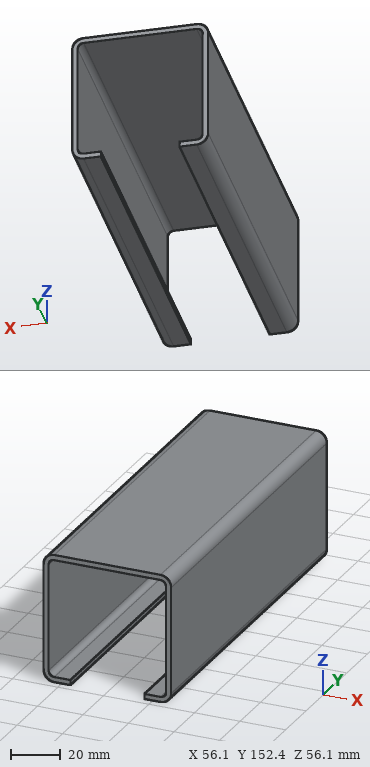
import cadquery as cq

length = 152.4
width = 56.1
height = 56.1
wall = 2.3
outer_radius = 4.7
slot_width = 32.5

inner_radius = outer_radius - wall


def rounded_bar(bar_width, bar_height, corner_radius):
    """Bar along Y, centred on the origin, with rounded lengthwise edges."""
    return cq.Workplane("XY").box(bar_width, length, bar_height).edges("|Y").fillet(corner_radius)


outside = rounded_bar(width, height, outer_radius)
cavity = rounded_bar(width - 2 * wall, height - 2 * wall, inner_radius)
tube = outside.cut(cavity)

slot_cutter = cq.Workplane("XY").box(slot_width, length, height / 2).translate((0, 0, -height / 2))

result = tube.cut(slot_cutter)